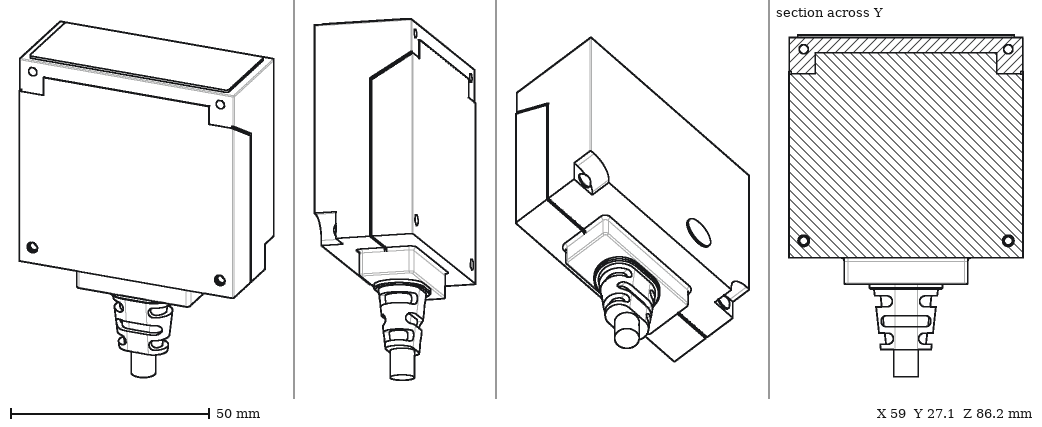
import cadquery as cq
import math

TOP_Z = 43.1
CABLE_END_Z = -43.1
WIDTH = 59.0
HALF_WIDTH = WIDTH / 2
DEPTH = 27.15
LED_TIP_Y = DEPTH / 2

BACK_Y = 12.2
COVER_FRONT_Y = -DEPTH / 2
COVER_STEP = 0.3
HOUSING_FRONT_Y = COVER_FRONT_Y + COVER_STEP
HOUSING_TOP_Z = 42.5
BASE_Z = -13.1
EDGE_FILLET = 0.3

CORD_Y = -2.6
GAP = 0.5
GAP_DEPTH = 0.5
JOINT_Y = CORD_Y - GAP / 2
JOINT_CORNER_Z = 27.5
JOINT_SLOPE = 30.0
TONGUE_HALF_WIDTH = 22.75
TONGUE_TOP_Z = 38.5
TONGUE_THICKNESS = 1.7

PLATE_HALF_WIDTH = 27.3
PLATE_BACK_Y = 10.95
PLATE_FRONT_Y = -12.0
PLATE_CORNER_RADIUS = 0.9

LED_X = -10.35
LED_Z = -1.5
LED_RADIUS = 4.1
LED_RIM = 0.5

HOLE_X = 25.8
UPPER_HOLE_Z = 39.5
LOWER_HOLE_Z = -8.8
UPPER_HOLE_RADIUS = 1.1
LOWER_HOLE_RADIUS = 1.0
LOWER_MOUTH_RADIUS = 1.4
LOWER_MOUTH_DEPTH = 0.9
HOLE_DEPTH = 3.45
DRILL_TIP_ANGLE = 118.0
POCKET_FLOOR_Y = 6.55
POCKET_TOP_Z = -6.2
POCKET_INNER_X = 22.75
POCKET_RADIUS = 5.5
HEAD_Z = -10.2
HEAD_RADIUS = 2.0
HEAD_RIM = 0.35
HEAD_HEIGHT = 1.5

BLOCK_HALF_WIDTH = 15.6
BLOCK_HALF_DEPTH = 7.1
BLOCK_BOTTOM_Z = -19.7
BLOCK_CORNER_RADIUS = 0.95
BLOCK_FLARE = 0.8
BLOCK_EDGE_FILLET = 0.4
COLLAR_RADIUS = 6.4
COLLAR_BOTTOM_Z = -20.95
COLLAR_CHAMFER = 0.35
RELIEF_STRAIGHT = 2.85
RELIEF_TOP_RADIUS = 5.3
RELIEF_BOTTOM_RADIUS = 3.5
RELIEF_BOTTOM_Z = -36.2
CORE_INSET = 1.5
SLOT_RADIUS = 1.4
END_SLOTS = ((-24.05, 3.45), (-33.45, 3.2))
FACE_SLOT_Z = -29.05
FACE_SLOT_HALF_LENGTH = 6.3
FACE_SLOT_WEB = 0.9
CABLE_RADIUS = 3.1


def box(x_low, x_high, y_low, y_high, z_low, z_high):
    """Box between two opposite corners."""
    size = (x_high - x_low, y_high - y_low, z_high - z_low)
    return cq.Workplane("XY").box(*size, centered=False).translate((x_low, y_low, z_low))


def joint_region(offset):
    """Full-width region in front of the joint line, the line being moved outward by offset."""
    slope = math.radians(JOINT_SLOPE)
    bend_y = JOINT_Y + offset
    bend_z = JOINT_CORNER_Z + offset * math.tan((math.pi / 2 - slope) / 2)
    front_y = 2 * COVER_FRONT_Y
    bottom_z = 2 * BASE_Z
    front_z = bend_z + (bend_y - front_y) * math.tan(slope)
    outline = [(front_y, bottom_z), (bend_y, bottom_z), (bend_y, bend_z), (front_y, front_z)]
    return cq.Workplane("YZ").polyline(outline).close().extrude(HALF_WIDTH, both=True)


def enclosure_block(front_y):
    """Enclosure with rounded side and front-top edges and a sharp base and rear top edge."""
    block = box(-HALF_WIDTH, HALF_WIDTH, front_y, BACK_Y, BASE_Z, HOUSING_TOP_Z)
    return block.edges("|Z or (>Z and |Y) or (>Z and <Y)").fillet(EDGE_FILLET)


def cover_tongue():
    """Flat extension of the cover that lies in the front of the housing between the upper holes."""
    return box(-TONGUE_HALF_WIDTH, TONGUE_HALF_WIDTH, COVER_FRONT_Y,
               COVER_FRONT_Y + TONGUE_THICKNESS, JOINT_CORNER_Z, TONGUE_TOP_Z)


def joint_gap():
    """Shallow groove that runs along the joint on both sides and the base."""
    band = joint_region(GAP).cut(joint_region(0))
    inner = HALF_WIDTH - GAP_DEPTH
    return band.cut(box(-inner, inner, COVER_FRONT_Y, BACK_Y, BASE_Z + GAP_DEPTH, HOUSING_TOP_Z))


def dome(radius, rim, height):
    """Round button along +Y: a short cylindrical rim under a spherical cap."""
    half_angle = math.atan((height - rim) / radius)
    sphere_radius = radius / math.sin(2 * half_angle)
    sphere_center = height - sphere_radius
    mid_point = (sphere_radius * math.sin(half_angle), sphere_center + sphere_radius * math.cos(half_angle))
    profile = cq.Workplane("XY").lineTo(radius, 0).lineTo(radius, rim)
    profile = profile.threePointArc(mid_point, (0, height)).close()
    return profile.revolve(360, (0, 0, 0), (0, 1, 0))


def drilled_hole(radius, depth):
    """Blind drilled hole along +Y with a conical end."""
    tip = radius / math.tan(math.radians(DRILL_TIP_ANGLE / 2))
    outline = [(0, 0), (radius, 0), (radius, depth), (0, depth + tip)]
    return cq.Workplane("XY").polyline(outline).close().revolve(360, (0, 0, 0), (0, 1, 0))


def corner_pocket():
    """Pocket in the lower rear corner at +X, with one rounded inner corner."""
    pocket = box(POCKET_INNER_X, 2 * HALF_WIDTH, POCKET_FLOOR_Y, 2 * BACK_Y, 2 * BASE_Z, POCKET_TOP_Z)
    return pocket.edges("|Y and <X and >Z").fillet(POCKET_RADIUS)


def make_housing():
    body = enclosure_block(HOUSING_FRONT_Y)
    body = body.cut(joint_region(0)).cut(cover_tongue()).cut(joint_gap())

    plate = box(-PLATE_HALF_WIDTH, PLATE_HALF_WIDTH, PLATE_FRONT_Y, PLATE_BACK_Y, HOUSING_TOP_Z, TOP_Z)
    body = body.union(plate.edges("|Z").fillet(PLATE_CORNER_RADIUS))

    led = dome(LED_RADIUS, LED_RIM, LED_TIP_Y - BACK_Y)
    body = body.union(led.translate((LED_X, BACK_Y, LED_Z)))

    pocket = corner_pocket()
    screw_head = dome(HEAD_RADIUS, HEAD_RIM, HEAD_HEIGHT)
    hole = drilled_hole(UPPER_HOLE_RADIUS, HOLE_DEPTH)
    body = body.cut(pocket).cut(pocket.mirror("YZ"))
    for x in (-HOLE_X, HOLE_X):
        body = body.union(screw_head.translate((x, POCKET_FLOOR_Y, HEAD_Z)))
        body = body.cut(hole.translate((x, HOUSING_FRONT_Y, UPPER_HOLE_Z)))
    return body


def make_cover():
    body = enclosure_block(COVER_FRONT_Y).intersect(joint_region(0)).union(cover_tongue())
    hole = drilled_hole(LOWER_HOLE_RADIUS, HOLE_DEPTH).union(
        drilled_hole(LOWER_MOUTH_RADIUS, LOWER_MOUTH_DEPTH))
    for x in (-HOLE_X, HOLE_X):
        body = body.cut(hole.translate((x, COVER_FRONT_Y, LOWER_HOLE_Z)))
    return body


def cord_block():
    """Rounded block under the base, with a flare notched at the joint gap and a key that fills the gap."""
    block = box(-BLOCK_HALF_WIDTH, BLOCK_HALF_WIDTH, CORD_Y - BLOCK_HALF_DEPTH, CORD_Y + BLOCK_HALF_DEPTH,
                BLOCK_BOTTOM_Z, BASE_Z)
    block = block.edges("|Z").fillet(BLOCK_CORNER_RADIUS)
    block = block.faces("<Z").edges().fillet(BLOCK_EDGE_FILLET)

    base_plate = box(-HALF_WIDTH, HALF_WIDTH, COVER_FRONT_Y, BACK_Y, BASE_Z, BASE_Z + GAP_DEPTH)
    flared = base_plate.union(block)
    near_base = cq.selectors.BoxSelector(
        (-HALF_WIDTH + GAP, COVER_FRONT_Y + GAP, BASE_Z - GAP / 2),
        (HALF_WIDTH - GAP, BACK_Y - GAP, BASE_Z + GAP / 2))
    flared = flared.edges(near_base).fillet(BLOCK_FLARE).cut(base_plate)

    gap_low = CORD_Y - GAP / 2
    gap_high = CORD_Y + GAP / 2
    notch = box(BLOCK_HALF_WIDTH, HALF_WIDTH, gap_low, gap_high, BLOCK_BOTTOM_Z, BASE_Z)
    key = box(-BLOCK_HALF_WIDTH, BLOCK_HALF_WIDTH, gap_low, gap_high, BASE_Z, BASE_Z + GAP_DEPTH)
    return flared.cut(notch).cut(notch.mirror("YZ")).union(key)


def tapered_stadium(top_radius, bottom_radius):
    """Strain-relief shape: two cones joined by a straight wedge, all tapering downward."""
    height = COLLAR_BOTTOM_Z - RELIEF_BOTTOM_Z
    half_section = [(0, 0), (bottom_radius, 0), (top_radius, height), (0, height)]
    section = [(-bottom_radius, 0), (bottom_radius, 0), (top_radius, height), (-top_radius, height)]
    body = cq.Workplane("YZ").polyline(section).close().extrude(RELIEF_STRAIGHT, both=True)
    for x in (-RELIEF_STRAIGHT, RELIEF_STRAIGHT):
        cone = cq.Workplane("XZ").polyline(half_section).close().revolve(360, (0, 0, 0), (0, 1, 0))
        body = body.union(cone.translate((x, 0, 0)))
    return body.translate((0, CORD_Y, RELIEF_BOTTOM_Z))


def relief_slot(x_low, x_high, z):
    """Round-ended slot through the strain relief along Y."""
    slot = cq.Workplane("XZ").slot2D(x_high - x_low, 2 * SLOT_RADIUS)
    slot = slot.extrude(2 * RELIEF_TOP_RADIUS, both=True)
    return slot.translate(((x_low + x_high) / 2, CORD_Y, z))


def strain_relief():
    """Tapered sleeve with staggered slots that leave an inner core and a thin middle web whole."""
    sleeve = tapered_stadium(RELIEF_TOP_RADIUS, RELIEF_BOTTOM_RADIUS)
    core = tapered_stadium(RELIEF_TOP_RADIUS - CORE_INSET, RELIEF_BOTTOM_RADIUS - CORE_INSET)
    for z, inner_x in END_SLOTS:
        sleeve = sleeve.cut(relief_slot(inner_x, HALF_WIDTH, z))
        sleeve = sleeve.cut(relief_slot(-HALF_WIDTH, -inner_x, z))
    face_slot = relief_slot(-FACE_SLOT_HALF_LENGTH, FACE_SLOT_HALF_LENGTH, FACE_SLOT_Z)
    web = box(-HALF_WIDTH, HALF_WIDTH, CORD_Y - FACE_SLOT_WEB / 2, CORD_Y + FACE_SLOT_WEB / 2,
              RELIEF_BOTTOM_Z, COLLAR_BOTTOM_Z)
    return sleeve.cut(face_slot.cut(web)).union(core)


def make_cord():
    collar_length = 2 * (RELIEF_STRAIGHT + COLLAR_RADIUS)
    collar = cq.Workplane("XY").slot2D(collar_length, 2 * COLLAR_RADIUS)
    collar = collar.extrude(COLLAR_BOTTOM_Z - BLOCK_BOTTOM_Z).faces("<Z").chamfer(COLLAR_CHAMFER)
    collar = collar.translate((0, CORD_Y, BLOCK_BOTTOM_Z))

    cable = cq.Workplane("XY").circle(CABLE_RADIUS).extrude(RELIEF_BOTTOM_Z - CABLE_END_Z)
    cable = cable.translate((0, CORD_Y, CABLE_END_Z))
    return cord_block().union(collar).union(strain_relief()).union(cable)


housing = make_housing()
cover = make_cover()
cord = make_cord()
result = cq.Compound.makeCompound([*housing.solids().vals(), *cover.solids().vals(), *cord.solids().vals()])